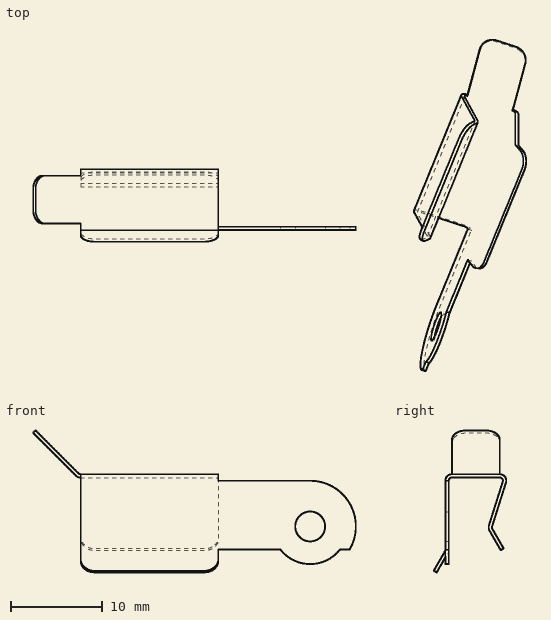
import cadquery as cq
import math

thickness = 0.4
inner_radius = 0.3
outer_radius = inner_radius + thickness

channel_length = 15.0
top_flat_width = 5.25
top_middle_y = outer_radius + top_flat_width / 2
front_leg_length = 7.52
back_leg_length = 5.03
back_leg_lean = 17.5
lip_flare = 30
front_lip_length = 2.45
back_lip_length = 2.45
corner_radius = 1.5

tab_angle = 45
tab_length = 6.6

eye_x = 25.0
eye_radius = 5.0
lobe_radius = 4.1
hole_radius = 1.6
arm_top = -outer_radius
arm_bottom = arm_top - front_leg_length
eye_z = arm_top - eye_radius


def bent_profile(plane, start, heading, steps):
    """Closed strip outline: each step is (bend angle in degrees, straight length).

    The start point lies mid-thickness. Positive bends turn counterclockwise.
    """
    half = thickness / 2
    middle_radius = inner_radius + half
    x, y = start
    angle = math.radians(heading)

    def sides(px, py, direction):
        nx = -half * math.sin(direction)
        ny = half * math.cos(direction)
        return (px + nx, py + ny), (px - nx, py - ny)

    left_start, right_start = sides(x, y, angle)
    stations = []
    for bend, length in steps:
        turn = math.radians(bend)
        if bend:
            sign = math.copysign(1, bend)
            center_x = x - sign * middle_radius * math.sin(angle)
            center_y = y + sign * middle_radius * math.cos(angle)

            def on_bend(fraction):
                direction = angle + fraction * turn
                px = center_x + sign * middle_radius * math.sin(direction)
                py = center_y - sign * middle_radius * math.cos(direction)
                return px, py, direction

            middle = sides(*on_bend(0.5))
            x, y, angle = on_bend(1)
            stations.append((middle, sides(x, y, angle)))
        x += length * math.cos(angle)
        y += length * math.sin(angle)
        stations.append((None, sides(x, y, angle)))

    outline = cq.Workplane(plane).moveTo(*left_start)
    for middle, end in stations:
        if middle:
            outline = outline.threePointArc(middle[0], end[0])
        else:
            outline = outline.lineTo(*end[0])
    outline = outline.lineTo(*stations[-1][1][1])
    right_ends = [right_start] + [end[1] for _, end in stations[:-1]]
    for (middle, _), target in zip(reversed(stations), reversed(right_ends)):
        if middle:
            outline = outline.threePointArc(middle[1], target)
        else:
            outline = outline.lineTo(*target)
    return outline.close()


def round_tip(strip, thickness_direction):
    """Round the two corners at the strip's free end."""
    selector = cq.selectors.ParallelDirSelector(cq.Vector(*thickness_direction))
    return strip.edges(selector).fillet(corner_radius)


def make_channel():
    start = (top_middle_y, -thickness / 2)
    front_steps = [
        (0, top_flat_width / 2),
        (90, front_leg_length),
        (-lip_flare, front_lip_length),
    ]
    back_steps = [
        (0, top_flat_width / 2),
        (-90 - back_leg_lean, back_leg_length),
        (back_leg_lean + lip_flare, back_lip_length),
    ]
    front = bent_profile("YZ", start, 180, front_steps).extrude(channel_length)
    back = bent_profile("YZ", start, 0, back_steps).extrude(channel_length)
    flare = math.radians(lip_flare)
    front = round_tip(front, (0, math.cos(flare), -math.sin(flare)))
    back = round_tip(back, (0, math.cos(flare), math.sin(flare)))
    return front.union(back)


def make_tab():
    steps = [(-tab_angle, tab_length)]
    tab = bent_profile("XZ", (0, -thickness / 2), 180, steps).extrude(top_flat_width / 2, both=True)
    tilt = math.radians(tab_angle)
    return round_tip(tab, (math.sin(tilt), 0, math.cos(tilt))).translate((0, top_middle_y, 0))


def make_arm():
    bar = (
        cq.Workplane("XZ")
        .moveTo(0, arm_bottom)
        .lineTo(0, arm_top)
        .lineTo(eye_x, arm_top)
        .threePointArc(
            (eye_x + eye_radius, eye_z),
            (eye_x + math.sqrt(eye_radius**2 - (eye_z - arm_bottom) ** 2), arm_bottom),
        )
        .close()
        .extrude(-thickness)
    )
    eye = cq.Workplane("XZ").center(eye_x, eye_z)
    lobe = eye.circle(lobe_radius).extrude(-thickness)
    hole = eye.circle(hole_radius).extrude(-thickness)
    return bar.union(lobe).cut(hole)


result = make_channel().union(make_tab()).union(make_arm())